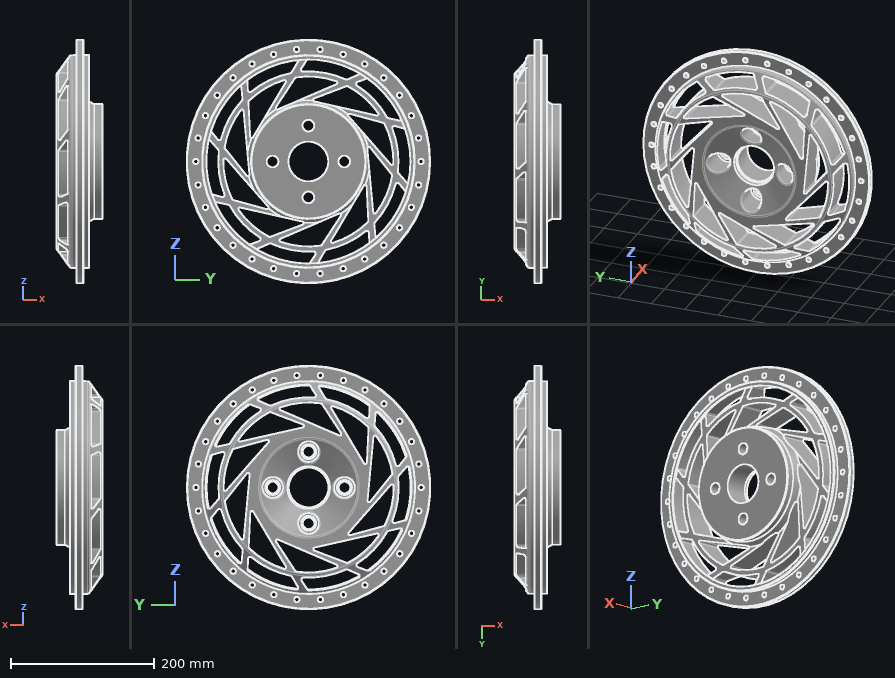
import cadquery as cq
import math

RING_BACK = 46.2
RIM_FRONT = 28.0
RIM_BACK = 38.0
WEB_BACK = 42.5
HUB_BACK = 65.0
HUB_TAPER_END = 52.7

RIM_RADIUS = 170.0
RING_RADIUS = 148.5
WEB_FACE_RADIUS = 121.7
HUB_RADIUS = 80.2
DISH_RADIUS = 69.0
PILOT_RADIUS = 30.0
BORE_RADIUS = 27.5

WEB_CONE_DEPTH = 19.7
DISH_DEPTH = 19.0
PILOT_DEPTH = 8.0
HUB_TAPER_SLOPE = 0.53
EDGE_BREAK = 1.0

DISH_FILLET = 5.0
WEB_FILLET = 5.0
RING_FILLET = 3.5

SPOKE_COUNT = 10
LEADING_NORMAL = -38.8
LEADING_DISTANCE = 79.2
TRAILING_NORMAL = -5.3
TRAILING_DISTANCE = 83.5
INNER_WINDOW_OUTER_RADIUS = 118.3
OUTER_WINDOW_INNER_RADIUS = 125.8
OUTER_WINDOW_OUTER_RADIUS = 143.8
INNER_WINDOW_FILLET = 2.0
OUTER_WINDOW_FILLET = 2.7

LIP_RADIUS = 142.0

RIM_HOLE_COUNT = 30
RIM_HOLE_CIRCLE = 157.0
RIM_HOLE_DIAMETER = 7.0
BOLT_COUNT = 4
BOLT_CIRCLE = 50.0
BOLT_DIAMETER = 16.0
BOLT_COUNTERSINK_DIAMETER = 21.0
COUNTERBORE_DIAMETER = 29.0
COUNTERBORE_FLOOR = 44.2
COUNTERBORE_EDGE_FILLET = 1.7

MARGIN = 3.5
TOLERANCE = 0.05
FRONT_PLANE = cq.Plane(origin=(-MARGIN, 0, 0), xDir=(0, -1, 0), normal=(-1, 0, 0))
THROUGH = HUB_BACK + 2 * MARGIN


def revolve(points):
    """Solid of revolution about X from (x, radius) points."""
    return cq.Workplane("XY").polyline(points).close().revolve(360, (0, 0, 0), (1, 0, 0))


def circle_edges(body, x, radius):
    """The circular edges whose centre is at a given x and that have a given radius."""
    return body.edges("%CIRCLE").filter(
        lambda e: abs(e.Center().x - x) < TOLERANCE and abs(e.radius() - radius) < TOLERANCE
    )


def turned_body():
    """Web, ring, rim and hub, with the dish and bore, before any window or hole is cut."""
    hub_root_radius = HUB_RADIUS + HUB_TAPER_SLOPE * (HUB_TAPER_END - WEB_BACK)
    pilot_floor = DISH_DEPTH + PILOT_DEPTH
    body = revolve([
        (0, DISH_RADIUS),
        (0, WEB_FACE_RADIUS),
        (WEB_CONE_DEPTH, RING_RADIUS),
        (RIM_FRONT, RING_RADIUS),
        (RIM_FRONT, RIM_RADIUS),
        (RIM_BACK, RIM_RADIUS),
        (RIM_BACK, RING_RADIUS),
        (RING_BACK, RING_RADIUS),
        (RING_BACK, LIP_RADIUS),
        (WEB_BACK, LIP_RADIUS),
        (WEB_BACK, hub_root_radius),
        (HUB_TAPER_END, HUB_RADIUS),
        (HUB_BACK, HUB_RADIUS),
        (HUB_BACK, BORE_RADIUS),
        (pilot_floor, BORE_RADIUS),
        (pilot_floor, PILOT_RADIUS),
        (DISH_DEPTH, PILOT_RADIUS),
    ])
    for x, radius in [
        (RIM_FRONT, RIM_RADIUS),
        (RIM_BACK, RIM_RADIUS),
        (RING_BACK, RING_RADIUS),
        (HUB_BACK, HUB_RADIUS),
    ]:
        body = circle_edges(body, x, radius).chamfer(EDGE_BREAK)
    body = circle_edges(body, 0, DISH_RADIUS).fillet(DISH_FILLET)
    body = circle_edges(body, 0, WEB_FACE_RADIUS).fillet(WEB_FILLET)
    return circle_edges(body, WEB_CONE_DEPTH, RING_RADIUS).fillet(RING_FILLET)


def window_wedge():
    """Wedge between the leading and trailing lines of one pair of windows."""
    lead = math.radians(LEADING_NORMAL)
    trail = math.radians(TRAILING_NORMAL)
    spread = math.sin(trail - lead)
    tip_x = (LEADING_DISTANCE * math.sin(trail) - TRAILING_DISTANCE * math.sin(lead)) / spread
    tip_y = (TRAILING_DISTANCE * math.cos(lead) - LEADING_DISTANCE * math.cos(trail)) / spread
    reach = RIM_RADIUS
    return (
        cq.Workplane(FRONT_PLANE)
        .moveTo(tip_x, tip_y)
        .lineTo(tip_x - reach * math.sin(lead), tip_y + reach * math.cos(lead))
        .lineTo(tip_x - reach * math.sin(trail), tip_y + reach * math.cos(trail))
        .close()
        .extrude(-THROUGH)
    )


def outer_window_space():
    """Round space that bounds the outer windows and slopes in to the lip behind the web."""
    slope_radius = LIP_RADIUS - MARGIN
    slope_end = WEB_BACK + OUTER_WINDOW_OUTER_RADIUS - slope_radius
    return revolve([
        (-MARGIN, 0),
        (-MARGIN, RIM_RADIUS),
        (WEB_BACK, OUTER_WINDOW_OUTER_RADIUS),
        (slope_end, slope_radius),
        (slope_end, 0),
    ])


def repeat_round_axis(shape, count):
    """Copies of a solid spaced evenly about X."""
    solid = shape.val()
    step = 360 / count
    return [solid.rotate(cq.Vector(0, 0, 0), cq.Vector(1, 0, 0), i * step) for i in range(count)]


def cut_windows(body):
    """Triangular windows in the web face and curved windows in the web cone."""
    wedge = window_wedge()
    disc = cq.Workplane(FRONT_PLANE).circle(INNER_WINDOW_OUTER_RADIUS).extrude(-THROUGH)
    inner = wedge.intersect(disc).edges("|X").fillet(INNER_WINDOW_FILLET)
    annulus = (
        cq.Workplane(FRONT_PLANE)
        .circle(OUTER_WINDOW_OUTER_RADIUS)
        .circle(OUTER_WINDOW_INNER_RADIUS)
        .extrude(-THROUGH)
    )
    outer = wedge.intersect(annulus).edges("|X").fillet(OUTER_WINDOW_FILLET)
    outer = outer.intersect(outer_window_space())
    windows = repeat_round_axis(inner, SPOKE_COUNT) + repeat_round_axis(outer, SPOKE_COUNT)
    return body.cut(cq.Workplane(cq.Compound.makeCompound(windows)))


def cut_rim_holes(body):
    holes = (
        cq.Workplane(FRONT_PLANE)
        .polarArray(RIM_HOLE_CIRCLE, 0, 360, RIM_HOLE_COUNT)
        .circle(RIM_HOLE_DIAMETER / 2)
        .extrude(-THROUGH)
    )
    return body.cut(holes)


def cut_bolt_holes(body):
    """Counterbored and countersunk bolt holes, with the counterbore mouths blended into the dish."""
    centres = cq.Workplane(FRONT_PLANE).polarArray(BOLT_CIRCLE, 0, 360, BOLT_COUNT)
    counterbores = centres.circle(COUNTERBORE_DIAMETER / 2).extrude(-(COUNTERBORE_FLOOR + MARGIN))
    body = body.cut(counterbores)
    body = body.edges("not(%CIRCLE or %LINE)").fillet(COUNTERBORE_EDGE_FILLET)
    body = body.cut(centres.circle(BOLT_DIAMETER / 2).extrude(-THROUGH))
    hole_mouths = circle_edges(body, COUNTERBORE_FLOOR, BOLT_DIAMETER / 2)
    return hole_mouths.chamfer((BOLT_COUNTERSINK_DIAMETER - BOLT_DIAMETER) / 2)


result = cut_windows(cut_rim_holes(cut_bolt_holes(turned_body())))